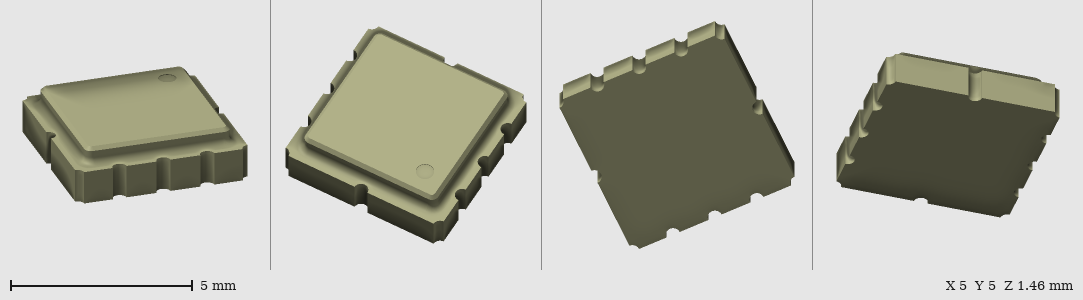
import cadquery as cq
import math

base_side = 5.0
base_height = 0.96
castellation_radius = 0.2
castellation_pitch = 1.27

lid_inset = 0.4
lid_side = base_side - 2 * lid_inset
lid_height = 0.5
lid_corner_radius = 0.2
lid_chamfer = 0.1
foot_radius = 0.2

marker_diameter = 0.5
marker_offset = 1.4
marker_depth = 0.02

half_base = base_side / 2
lid_top = base_height + lid_height


def castellation_centers():
    """Centres of the vertical grooves: corners, three per X side, one per Y side."""
    centers = []
    for side in (-half_base, half_base):
        centers += [(side, -half_base), (side, half_base)]
        centers += [(side, row * castellation_pitch) for row in (-1, 0, 1)]
        centers.append((0, side))
    return centers


def make_base():
    grooves = (
        cq.Workplane("XY")
        .pushPoints(castellation_centers())
        .circle(castellation_radius)
        .extrude(base_height)
    )
    block = cq.Workplane("XY").rect(base_side, base_side).extrude(base_height)
    return block.cut(grooves)


def make_lid_plate():
    """Square plate standing on the base, with rounded vertical edges."""
    return (
        cq.Workplane("XY", origin=(0, 0, base_height))
        .rect(lid_side, lid_side)
        .extrude(lid_height)
        .edges("|Z")
        .fillet(lid_corner_radius)
    )


def make_foot_profile():
    """Concave quarter-round section running from the lid wall down to the base."""
    lid_wall = lid_side / 2
    foot_edge = lid_wall + foot_radius
    foot_top = base_height + foot_radius
    arc_middle = foot_radius * (1 - math.cos(math.radians(45)))
    return (
        cq.Workplane("XZ")
        .moveTo(lid_wall, base_height)
        .lineTo(foot_edge, base_height)
        .threePointArc(
            (lid_wall + arc_middle, base_height + arc_middle),
            (lid_wall, foot_top),
        )
        .close()
    )


def make_lid():
    plate = make_lid_plate()
    plate_outline = plate.faces("<Z").wires()
    foot = make_foot_profile().sweep(plate_outline)
    return plate.faces(">Z").chamfer(lid_chamfer).union(foot)


def make_marker():
    return (
        cq.Workplane("XY", origin=(-marker_offset, marker_offset, lid_top - marker_depth))
        .circle(marker_diameter / 2)
        .extrude(marker_depth)
    )


result = make_base().union(make_lid()).cut(make_marker())